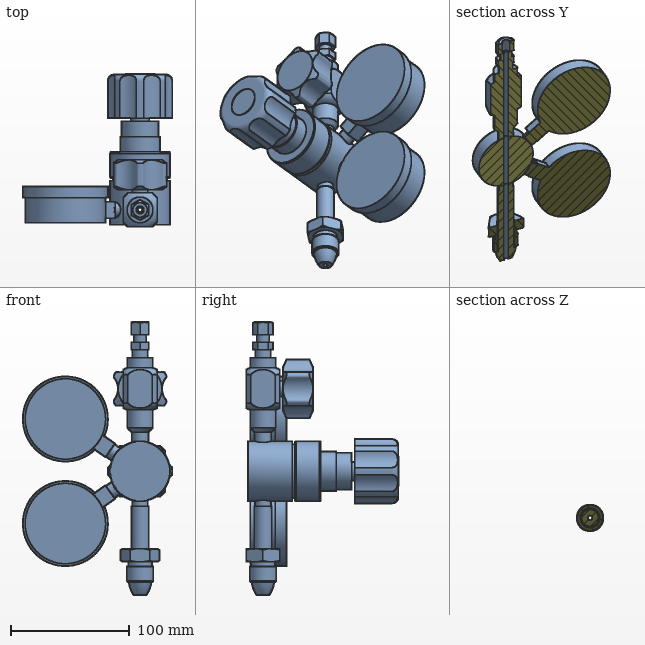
import cadquery as cq
import math


bore_r = 1.8
port_r = 3.2
port_depth = 11.3

housing_r = 25.4
housing_front_y = -12.7
groove_r = 22.8
groove_start_y = 24.7
bonnet_start_y = 26.7
bonnet_end_y = 48.9
bonnet_edge_length = 1.4
bonnet_edge_drop = 0.5
bonnet_step_r = 16.8
bonnet_step_end_y = 61.5
bonnet_neck_r = 15.7
bonnet_neck_end_y = 74.7
spindle_r = 7.8

knob_r = 27.2
knob_start_y = 77.2
knob_end_y = 114.0
knob_rim_radius = 5.5
knob_flutes = 8
knob_flute_r = 17.0
knob_flute_bottom = 24.5
knob_cap_r = 12.2
knob_cap_end_y = 114.5

gauge_distance = 76.8
gauge_angle = 35
gauge_case_r = 33.9
gauge_bezel_r = 36.0
gauge_front_y = -10.8
gauge_bezel_y = 10.4
gauge_back_y = 19.8
gauge_square = 14.0
gauge_square_start = 30.7
gauge_stem_r = 6.5

valve_block_width = 28.5
valve_block_corner = 4.0
valve_block_bottom_z = 51.6
valve_block_top_z = 87.1
valve_turned_r = 17.7
valve_shoulder_height = 6.5
valve_shoulder_middle_r = 14.3
valve_shoulder_middle_drop = 1.5
valve_stub_r = 7.1
valve_cone_start_z = 32.7
valve_lower_start_z = 36.6
valve_collar_r = 10.8
valve_collar_top_z = 95.7
fitting_lower_r = 6.7
fitting_neck_r = 5.3
fitting_flats = 15.0
fitting_hex_bottom_z = 102.3
fitting_hex_top_z = 108.8
fitting_nut_bottom_z = 114.8
fitting_top_z = 126.0
fitting_nut_inset = 1.4
fitting_nut_chamfer_width = 2.8
fitting_nut_chamfer_slope = 0.5
hexagon_quarter_turn = 30

wheel_r = 25.0
wheel_face_r = 18.5
wheel_edge_length = 3.0
wheel_start_y = 16.8
wheel_end_y = 42.2
wheel_flutes = 6
wheel_flute_r = 15.0
wheel_flute_bottom = 18.7
wheel_lobe_fillet = 2.0
wheel_spindle_r = 6.7

nipple_stub_r = 6.7
nipple_shoulder_z = -29.3
nipple_r = 7.4
nose_base_r = 9.7
nose_middle_r = 8.3
nose_tip_r = 5.3
nose_tip_z = -104.5

nut_flats = 28.5
nut_top_z = -65.5
nut_hex_bottom_z = -76.0
nut_bottom_z = -93.3
nut_hole_r = 8.0
nut_neck_r = 10.1
nut_neck_bottom_z = -80.0
nut_thread_r = 11.3
nut_thread_top_chamfer = 0.5
nut_thread_end_chamfer = 1.0
nut_corner_length = 1.0
nut_corner_drop = 1.5


def cylinder_y(radius, start_y, end_y, x=0, z=0):
    start = cq.Vector(x, start_y, z)
    return cq.Workplane(cq.Solid.makeCylinder(radius, end_y - start_y, start, cq.Vector(0, 1, 0)))


def cylinder_z(radius, start_z, end_z):
    return cq.Workplane("XY").workplane(offset=start_z).circle(radius).extrude(end_z - start_z)


def hexagon_z(across_flats, start_z, end_z, turn):
    corner_circle = across_flats / math.cos(math.pi / 6)
    prism = cq.Workplane("XY").polygon(6, corner_circle).extrude(end_z - start_z)
    return prism.rotate((0, 0, 0), (0, 0, 1), turn).translate((0, 0, start_z))


def turned_z(profile):
    """Turn a closed outline of (radius, z) points about the Z axis."""
    return cq.Workplane("XZ").polyline(profile).close().revolve(360, (0, 0), (0, 1))


def turned_y(profile):
    """Turn a closed outline of (radius, y) points about the Y axis."""
    return cq.Workplane("XY").polyline(profile).close().revolve(360, (0, 0), (0, 1))


def cut_flutes(blank, count, first_angle, flute_r, flute_bottom, start_y, end_y):
    """Cut scooped grooves parallel to Y around a knob centred on the Y axis."""
    centre_distance = flute_bottom + flute_r
    for index in range(count):
        angle = math.radians(first_angle + index * 360 / count)
        x = centre_distance * math.cos(angle)
        z = centre_distance * math.sin(angle)
        blank = blank.cut(cylinder_y(flute_r, start_y, end_y, x, z))
    return blank


def make_flow_bore():
    return cylinder_z(bore_r, nose_tip_z, fitting_top_z)


def make_adjusting_knob():
    knob = cylinder_y(knob_r, knob_start_y, knob_end_y).faces(">Y").edges().fillet(knob_rim_radius)
    first_flute_angle = 180 / knob_flutes
    knob = cut_flutes(
        knob, knob_flutes, first_flute_angle, knob_flute_r, knob_flute_bottom, knob_start_y, knob_end_y
    )
    return knob.union(cylinder_y(knob_cap_r, knob_start_y, knob_cap_end_y))


def make_regulator():
    bonnet_edge_r = housing_r - bonnet_edge_drop
    body = turned_y([
        (0, housing_front_y),
        (housing_r, housing_front_y),
        (housing_r, groove_start_y),
        (groove_r, groove_start_y),
        (groove_r, bonnet_start_y),
        (bonnet_edge_r, bonnet_start_y),
        (housing_r, bonnet_start_y + bonnet_edge_length),
        (housing_r, bonnet_end_y - bonnet_edge_length),
        (bonnet_edge_r, bonnet_end_y),
        (bonnet_step_r, bonnet_end_y),
        (bonnet_step_r, bonnet_step_end_y),
        (bonnet_neck_r, bonnet_step_end_y),
        (bonnet_neck_r, bonnet_neck_end_y),
        (spindle_r, bonnet_neck_end_y),
        (spindle_r, knob_start_y),
        (0, knob_start_y),
    ])
    return body.union(make_adjusting_knob()).cut(make_flow_bore())


def housing_envelope():
    """Round housing wall against which the stems and stubs end."""
    return cylinder_y(housing_r, housing_front_y, groove_start_y)


def make_gauge(angle):
    """Gauge whose stem leaves the housing at the given angle above the -X direction."""
    case = cylinder_y(gauge_case_r, gauge_front_y, gauge_bezel_y, -gauge_distance)
    bezel = cylinder_y(gauge_bezel_r, gauge_bezel_y, gauge_back_y, -gauge_distance)
    square = (
        cq.Workplane("YZ", origin=(-gauge_square_start, 0, 0))
        .rect(gauge_square, gauge_square)
        .extrude(gauge_square_start - gauge_distance)
    )
    stem = cq.Workplane("YZ").circle(gauge_stem_r).extrude(-gauge_square_start)
    gauge = case.union(bezel).union(square).union(stem)
    return gauge.rotate((0, 0, 0), (0, 1, 0), angle).cut(housing_envelope())


def make_valve_block():
    height = valve_block_top_z - valve_block_bottom_z
    block = (
        cq.Workplane("XY")
        .workplane(offset=valve_block_bottom_z)
        .rect(valve_block_width, valve_block_width)
        .extrude(height)
        .edges("|Z")
        .chamfer(valve_block_corner)
    )
    envelope = (
        cq.Workplane("XZ")
        .moveTo(0, valve_block_bottom_z)
        .lineTo(valve_collar_r, valve_block_bottom_z)
        .threePointArc(
            (valve_shoulder_middle_r, valve_block_bottom_z + valve_shoulder_middle_drop),
            (valve_turned_r, valve_block_bottom_z + valve_shoulder_height),
        )
        .lineTo(valve_turned_r, valve_block_top_z - valve_shoulder_height)
        .threePointArc(
            (valve_shoulder_middle_r, valve_block_top_z - valve_shoulder_middle_drop),
            (valve_collar_r, valve_block_top_z),
        )
        .lineTo(0, valve_block_top_z)
        .close()
        .revolve(360, (0, 0), (0, 1))
    )
    return block.intersect(envelope)


def make_handwheel():
    wheel = cylinder_y(wheel_r, wheel_start_y, wheel_end_y)
    wheel = cut_flutes(
        wheel, wheel_flutes, 0, wheel_flute_r, wheel_flute_bottom, wheel_start_y, wheel_end_y
    )
    wheel = wheel.edges("|Y").fillet(wheel_lobe_fillet)
    envelope = turned_y([
        (0, wheel_start_y),
        (wheel_face_r, wheel_start_y),
        (wheel_r, wheel_start_y + wheel_edge_length),
        (wheel_r, wheel_end_y - wheel_edge_length),
        (wheel_face_r, wheel_end_y),
        (0, wheel_end_y),
    ])
    wheel = wheel.intersect(envelope).union(cylinder_y(wheel_spindle_r, 0, wheel_start_y))
    return wheel.translate((0, 0, (valve_block_bottom_z + valve_block_top_z) / 2))


def make_outlet_fitting():
    fitting = cylinder_z(valve_collar_r, valve_block_top_z, valve_collar_top_z)
    fitting = fitting.union(cylinder_z(fitting_lower_r, valve_collar_top_z, fitting_hex_bottom_z))
    fitting = fitting.union(
        hexagon_z(fitting_flats, fitting_hex_bottom_z, fitting_hex_top_z, hexagon_quarter_turn)
    )
    fitting = fitting.union(cylinder_z(fitting_neck_r, fitting_hex_top_z, fitting_nut_bottom_z))
    end_nut = hexagon_z(fitting_flats, fitting_nut_bottom_z, fitting_top_z, hexagon_quarter_turn)
    chamfer_top_r = fitting_flats / 2 - fitting_nut_inset
    chamfer_base_r = chamfer_top_r + fitting_nut_chamfer_width
    chamfer_base_z = fitting_top_z - fitting_nut_chamfer_width * fitting_nut_chamfer_slope
    envelope = turned_z([
        (0, fitting_nut_bottom_z),
        (chamfer_base_r, fitting_nut_bottom_z),
        (chamfer_base_r, chamfer_base_z),
        (chamfer_top_r, fitting_top_z),
        (0, fitting_top_z),
    ])
    return fitting.union(end_nut.intersect(envelope))


def make_valve():
    lower_neck = turned_z([
        (0, 0),
        (valve_stub_r, 0),
        (valve_stub_r, valve_cone_start_z),
        (valve_collar_r, valve_lower_start_z),
        (valve_collar_r, valve_block_bottom_z),
        (0, valve_block_bottom_z),
    ])
    valve = make_valve_block().union(lower_neck).union(make_outlet_fitting()).union(make_handwheel())
    port = cylinder_z(port_r, fitting_top_z - port_depth, fitting_top_z)
    return valve.cut(housing_envelope()).cut(make_flow_bore()).cut(port)


def make_nipple():
    nose_middle_z = (nut_bottom_z + nose_tip_z) / 2
    nipple = (
        cq.Workplane("XZ")
        .moveTo(0, 0)
        .lineTo(nipple_stub_r, 0)
        .lineTo(nipple_stub_r, nipple_shoulder_z)
        .lineTo(nipple_r, nipple_shoulder_z)
        .lineTo(nipple_r, nut_bottom_z)
        .lineTo(nose_base_r, nut_bottom_z)
        .threePointArc((nose_middle_r, nose_middle_z), (nose_tip_r, nose_tip_z))
        .lineTo(0, nose_tip_z)
        .close()
        .revolve(360, (0, 0), (0, 1))
    )
    return nipple.cut(housing_envelope()).cut(make_flow_bore())


def make_inlet_nut():
    corner_r = nut_flats / 2 / math.cos(math.pi / 6)
    envelope = turned_z([
        (0, nut_top_z),
        (corner_r - nut_corner_drop, nut_top_z),
        (corner_r, nut_top_z - nut_corner_length),
        (corner_r, nut_hex_bottom_z + nut_corner_length),
        (corner_r - nut_corner_drop, nut_hex_bottom_z),
        (0, nut_hex_bottom_z),
    ])
    head = hexagon_z(nut_flats, nut_hex_bottom_z, nut_top_z, 0).intersect(envelope)
    neck = cylinder_z(nut_neck_r, nut_neck_bottom_z, nut_hex_bottom_z)
    thread = cylinder_z(nut_thread_r, nut_bottom_z, nut_neck_bottom_z)
    thread = thread.faces(">Z").edges().chamfer(nut_thread_top_chamfer)
    thread = thread.faces("<Z").edges().chamfer(nut_thread_end_chamfer)
    return head.union(neck).union(thread).cut(cylinder_z(nut_hole_r, nut_bottom_z, nut_top_z))


regulator = make_regulator()
gauges = [make_gauge(angle) for angle in (gauge_angle, -gauge_angle)]
valve = make_valve()
nipple = make_nipple()
inlet_nut = make_inlet_nut()

result = cq.Compound.makeCompound([
    regulator.val(),
    *[gauge.val() for gauge in gauges],
    valve.val(),
    nipple.val(),
    inlet_nut.val(),
])